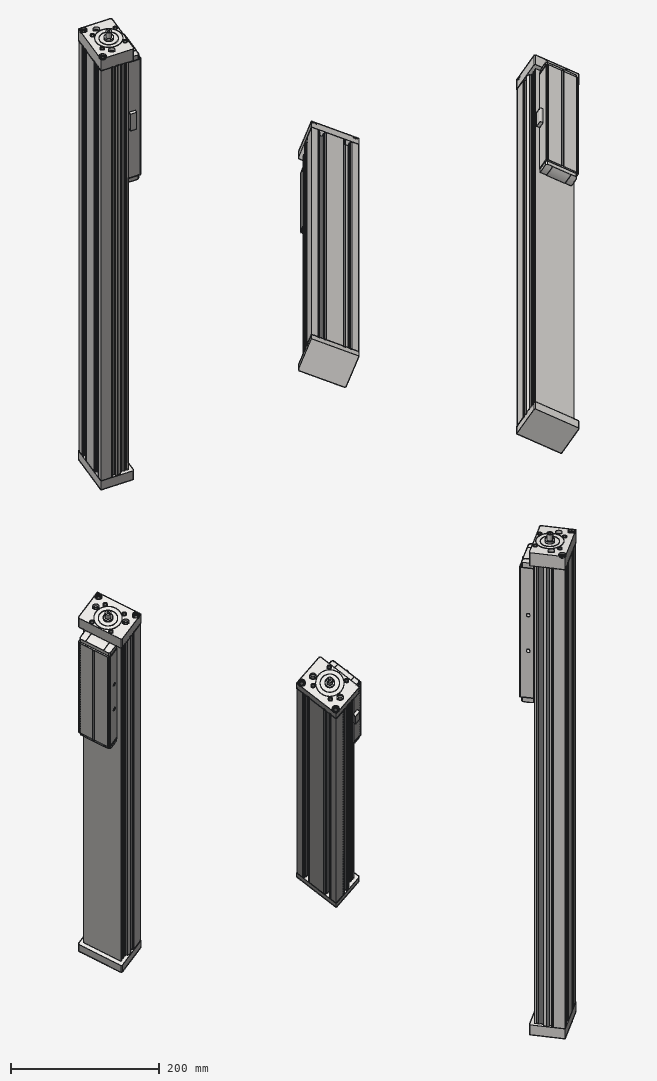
import cadquery as cq


plate_width = 69.0
plate_depth = 49.5
base_y = -28.5
plate_rear_y = base_y + plate_depth
plate_rear_chamfer = 1.5
bottom_plate_height = 16.0
top_plate_height = 21.0

profile_length = 733.0
profile_bottom_z = bottom_plate_height
profile_top_z = profile_bottom_z + profile_length
top_z = profile_top_z + top_plate_height
profile_half_width = 34.0
profile_depth = 43.2
profile_base_y = base_y + 0.3
profile_rear_y = profile_base_y + profile_depth
slope_start_y = -2.8
slope_end_y = 2.2
slope_half_width = 31.7
rail_half_width = 29.5

mounting_slot_x = 18.5
mounting_slot_steps = ((11.8, 1.0), (7.2, 3.0), (5.0, 7.0))
flank_slot_y = -7.6
flank_slot_steps = ((8.4, 1.0), (3.8, 4.0))
rail_groove_y = (5.8, 10.9)
rail_groove_width = 2.6
rail_groove_depth = 1.0

flange_diameter = 38.0
flange_recess_depth = 0.5
bearing_diameter = 26.0
bearing_recess_depth = 1.0
motor_hole_x = 15.0
motor_hole_y = 17.0
motor_hole_steps = ((6.0, 1.0), (4.13, 12.0))
plate_screw_x = 23.6
plate_screw_y = -7.0
plate_screw_steps = ((9.0, 5.0), (5.0, top_plate_height))
corner_screw_inset = 5.0
corner_screw_steps = ((9.73, 2.5), (7.0, 4.0), (4.92, top_plate_height))

shoulder_diameter = 13.0
shoulder_height = 2.0
shaft_diameter = 8.0
shaft_projection = 12.0
shaft_center_hole_diameter = 3.24
shaft_center_hole_depth = 8.0

carriage_top_y = base_y + 65.9
carriage_center_z = 635.0
carriage_half_width = 25.0
carriage_body_length = 207.0
strip_width = 3.0
strip_height = 0.9
carriage_face_y = carriage_top_y - strip_height
carriage_underside_gap = 2.2
carriage_foot_half_width = 20.0
edge_chamfer_x = 0.8
edge_chamfer_y = 1.6
top_groove_x = 22.8
top_groove_width = 1.8
top_groove_depth = 1.6
side_hole_diameter = 5.0
side_hole_depth = 8.0
side_hole_y = 24.4
side_hole_spacing = 57.0

end_cap_length = 7.0
end_cap_crown = 0.9
end_cap_half_width = 24.0
end_cap_center_half_width = 14.2
end_cap_center_rise = 0.4
end_cap_chamfer = 2.0
end_cap_top_y = carriage_face_y - 2.2

cam_thickness = 4.7
cam_bottom_y = 18.0
cam_top_y = 27.6
cam_length = 30.0
cam_fillet = 1.5


def make_block(x_limits, y_limits, z_limits):
    """Block that fills the given (low, high) limits."""
    limits = (x_limits, y_limits, z_limits)
    sizes = [high - low for low, high in limits]
    lows = [low for low, high in limits]
    return cq.Workplane("XY").box(*sizes, centered=False).translate(tuple(lows))


def around(center, width):
    """Limits of a span of this width about its centre."""
    return (center - width / 2, center + width / 2)


def make_plate(z_limits):
    half_width = plate_width / 2
    plate = make_block((-half_width, half_width), (base_y, plate_rear_y), z_limits)
    return plate.edges("|Z and >Y").chamfer(plate_rear_chamfer)


def make_bottom_plate():
    return make_plate((0, bottom_plate_height))


def cut_stepped_hole(body, x, y, steps):
    """Cut coaxial bores down from the top face; steps are (diameter, depth)."""
    for diameter, depth in steps:
        mouth = cq.Workplane("XY", origin=(x, y, top_z))
        body = body.cut(mouth.circle(diameter / 2).extrude(-depth))
    return body


def make_top_plate():
    plate = make_plate((profile_top_z, top_z))
    bearing_seat_steps = (
        (flange_diameter, flange_recess_depth),
        (bearing_diameter, bearing_recess_depth),
        (shoulder_diameter, top_plate_height),
    )
    plate = cut_stepped_hole(plate, 0, 0, bearing_seat_steps)
    corner_x = plate_width / 2 - corner_screw_inset
    corner_y = base_y + corner_screw_inset
    for side in (-1, 1):
        for motor_y in (-motor_hole_y, motor_hole_y):
            plate = cut_stepped_hole(plate, side * motor_hole_x, motor_y, motor_hole_steps)
        plate = cut_stepped_hole(plate, side * plate_screw_x, plate_screw_y, plate_screw_steps)
        plate = cut_stepped_hole(plate, side * corner_x, corner_y, corner_screw_steps)
    return plate


def make_profile():
    right_outline = [
        (profile_half_width, profile_base_y),
        (profile_half_width, slope_start_y),
        (slope_half_width, slope_end_y),
        (rail_half_width, slope_end_y),
        (rail_half_width, profile_rear_y),
    ]
    left_outline = [(-x, y) for x, y in reversed(right_outline)]
    section = cq.Workplane("XY", origin=(0, 0, profile_bottom_z)).polyline(right_outline + left_outline)
    profile = section.close().extrude(profile_length)

    z_limits = (profile_bottom_z, profile_top_z)
    for side in (-1, 1):
        for width, depth in mounting_slot_steps:
            slot_y = (profile_base_y, profile_base_y + depth)
            profile = profile.cut(make_block(around(side * mounting_slot_x, width), slot_y, z_limits))
        for width, depth in flank_slot_steps:
            slot_x = around(side * profile_half_width, 2 * depth)
            profile = profile.cut(make_block(slot_x, around(flank_slot_y, width), z_limits))
        for groove_y in rail_groove_y:
            groove_x = around(side * rail_half_width, 2 * rail_groove_depth)
            profile = profile.cut(make_block(groove_x, around(groove_y, rail_groove_width), z_limits))
    return profile


def make_crowned_block(half_width, edge_height):
    """Block through the whole carriage with a crowned face at both ends, forming both end caps."""
    bottom_y = profile_rear_y + carriage_underside_gap
    middle_y = (bottom_y + end_cap_top_y) / 2
    edge_z = carriage_body_length / 2 + edge_height
    crown_z = edge_z + end_cap_crown
    side_view = (
        cq.Workplane("YZ", origin=(-half_width, 0, carriage_center_z))
        .moveTo(bottom_y, -edge_z)
        .threePointArc((middle_y, -crown_z), (end_cap_top_y, -edge_z))
        .lineTo(end_cap_top_y, edge_z)
        .threePointArc((middle_y, crown_z), (bottom_y, edge_z))
        .close()
    )
    return side_view.extrude(2 * half_width)


def make_carriage():
    z_limits = around(carriage_center_z, carriage_body_length)
    skirt_y = profile_rear_y + carriage_underside_gap
    right_outline = [
        (carriage_foot_half_width, profile_rear_y),
        (carriage_foot_half_width, skirt_y),
        (carriage_half_width, skirt_y),
        (carriage_half_width, carriage_face_y - edge_chamfer_y),
        (carriage_half_width - edge_chamfer_x, carriage_face_y),
    ]
    left_outline = [(-x, y) for x, y in reversed(right_outline)]
    section = cq.Workplane("XY", origin=(0, 0, z_limits[0])).polyline(right_outline + left_outline)
    carriage = section.close().extrude(carriage_body_length)

    strip = make_block(around(0, strip_width), (carriage_face_y, carriage_top_y), z_limits)
    carriage = carriage.union(strip)
    for side in (-1, 1):
        groove_y = (carriage_face_y - top_groove_depth, carriage_face_y)
        groove = make_block(around(side * top_groove_x, top_groove_width), groove_y, z_limits)
        carriage = carriage.cut(groove)

    outer_caps = make_crowned_block(end_cap_half_width, end_cap_length)
    outer_caps = outer_caps.edges("|Z and >Y").chamfer(end_cap_chamfer)
    center_caps = make_crowned_block(end_cap_center_half_width, end_cap_length + end_cap_center_rise)
    body_zone = make_block(
        (-carriage_half_width, carriage_half_width), (profile_rear_y, carriage_top_y), z_limits
    )
    carriage = carriage.union(outer_caps.union(center_caps).cut(body_zone))

    for hole_z in around(carriage_center_z, side_hole_spacing):
        mouth = cq.Workplane("YZ", origin=(-carriage_half_width, side_hole_y, hole_z))
        carriage = carriage.cut(mouth.circle(side_hole_diameter / 2).extrude(side_hole_depth))

    cam = make_block(
        (carriage_half_width, carriage_half_width + cam_thickness),
        (cam_bottom_y, cam_top_y),
        around(carriage_center_z, cam_length),
    )
    cam = cam.edges("|Z and >X and >Y").fillet(cam_fillet)
    return carriage.union(cam)


def make_shaft():
    shoulder = cq.Workplane("XY", origin=(0, 0, profile_top_z)).circle(shoulder_diameter / 2)
    shaft = shoulder.extrude(top_plate_height + shoulder_height)
    journal = cq.Workplane("XY", origin=(0, 0, top_z)).circle(shaft_diameter / 2)
    shaft = shaft.union(journal.extrude(shaft_projection))
    center_hole = cq.Workplane("XY", origin=(0, 0, top_z + shaft_projection))
    return shaft.cut(center_hole.circle(shaft_center_hole_diameter / 2).extrude(-shaft_center_hole_depth))


bottom_plate = make_bottom_plate()
profile = make_profile()
top_plate = make_top_plate()
carriage = make_carriage()
shaft = make_shaft()

result = cq.Compound.makeCompound(
    [bottom_plate.val(), profile.val(), top_plate.val(), carriage.val(), shaft.val()]
)